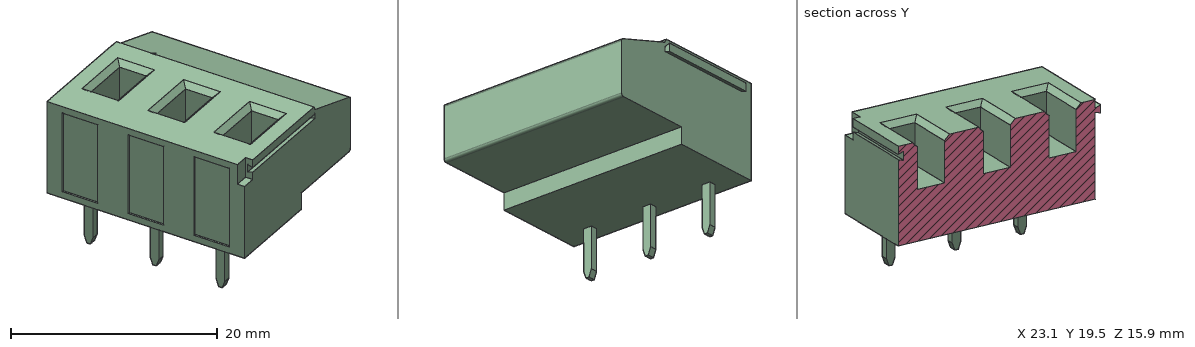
import cadquery as cq
import math


overall_width = 23.1
rail_depth = 0.6
housing_width = overall_width - rail_depth
housing_length = 19.5
housing_height = 10.49
side = housing_width / 2
plate_thickness = 1.5

top_back = 12.77
slope_start = 13.0
slope_start_drop = 0.42
slope_end_drop = 2.45
foot_length = 10.5
overhang_height = 1.87
back_radius = 0.3

pole_count = 3
pole_pitch = 7.5
pole_positions = [(i - (pole_count - 1) / 2) * pole_pitch for i in range(pole_count)]

well_width = 4.18
well_length = 6.55
well_front = 3.79
well_chamfer = 0.58
well_depth = 5.0

panel_width = 4.02
panel_height = 9.0
panel_depth = 0.2

overall_height = 15.9
pin_length = overall_height - housing_height
pin_width = 1.0
pin_thickness = 0.8
pin_front = 1.6
pin_tip_length = 0.8
pin_tip_width = 0.4
pin_overlap = 0.23

dovetail_root = 0.5
dovetail_tip = 0.9
dovetail_drop = 1.15
dovetail_length = slope_start - plate_thickness

notch_width = 0.8
notch_height = 2.25

mark_width = 0.5
mark_length = 0.5
mark_front = 13.5
mark_depth = 0.1


def make_housing():
    """Side profile extruded across the full width, with rounded back edges."""
    profile = [
        (0, 0),
        (foot_length, 0),
        (foot_length, overhang_height),
        (housing_length, overhang_height),
        (housing_length, housing_height - slope_end_drop),
        (slope_start, housing_height - slope_start_drop),
        (top_back, housing_height),
        (0, housing_height),
    ]
    housing = cq.Workplane("YZ", origin=(-side, 0, 0)).polyline(profile).close().extrude(housing_width)
    return housing.faces(">Y").edges("|X").fillet(back_radius)


def make_well(x):
    """Rectangular well with a 45 degree lead-in around its mouth."""
    floor_width = well_width - 2 * well_chamfer
    floor_length = well_length - 2 * well_chamfer
    mouth = cq.Workplane("XY", origin=(x, well_front + well_length / 2, housing_height))
    lead_in = (
        mouth.rect(well_width, well_length)
        .workplane(offset=-well_chamfer)
        .rect(floor_width, floor_length)
        .loft()
    )
    shaft = mouth.rect(floor_width, floor_length).extrude(-well_depth)
    return lead_in.union(shaft)


def make_panel(x):
    """Shallow rectangular recess, centred in the height of the front."""
    return cq.Workplane("XY").box(panel_width, 2 * panel_depth, panel_height).translate(
        (x, 0, housing_height / 2)
    )


def make_pin(x):
    """Flat pin with a tapered tip, rooted slightly inside the housing."""
    half = pin_width / 2
    half_tip = pin_tip_width / 2
    outline = [
        (-half, pin_overlap),
        (-half, pin_tip_length - pin_length),
        (-half_tip, -pin_length),
        (half_tip, -pin_length),
        (half, pin_tip_length - pin_length),
        (half, pin_overlap),
    ]
    return cq.Workplane("XZ", origin=(x, pin_front, 0)).polyline(outline).close().extrude(-pin_thickness)


def make_dovetail(root_x):
    """Bar that widens from its root at root_x towards -X."""
    outline = [
        (0, -dovetail_root / 2),
        (0, dovetail_root / 2),
        (-rail_depth, dovetail_tip / 2),
        (-rail_depth, -dovetail_tip / 2),
    ]
    start = (root_x, plate_thickness, housing_height - dovetail_drop)
    return cq.Workplane("XZ", origin=start).polyline(outline).close().extrude(-dovetail_length)


def make_notch():
    """Block that clears the upper right corner of the front plate."""
    return cq.Workplane("XY").box(notch_width, plate_thickness, notch_height, centered=False).translate(
        (side - notch_width, 0, housing_height - notch_height)
    )


def make_mark(x):
    """Triangular prism sunk square to the sloping roof, pointing to the back."""
    slope = (slope_end_drop - slope_start_drop) / (housing_length - slope_start)
    angle = math.degrees(math.atan(slope))
    base_z = housing_height - slope_start_drop - slope * (mark_front - slope_start)
    outline = [(-mark_width / 2, 0), (mark_width / 2, 0), (0, mark_length)]
    prism = cq.Workplane("XY").polyline(outline).close().extrude(mark_depth, both=True)
    return prism.rotate((0, 0, 0), (1, 0, 0), -angle).translate((x, mark_front, base_z))


result = make_housing().cut(make_notch())
for pole_x in pole_positions:
    result = result.cut(make_well(pole_x)).cut(make_panel(pole_x)).union(make_pin(pole_x))
result = result.union(make_dovetail(-side)).cut(make_dovetail(side)).cut(make_mark(pole_positions[0]))